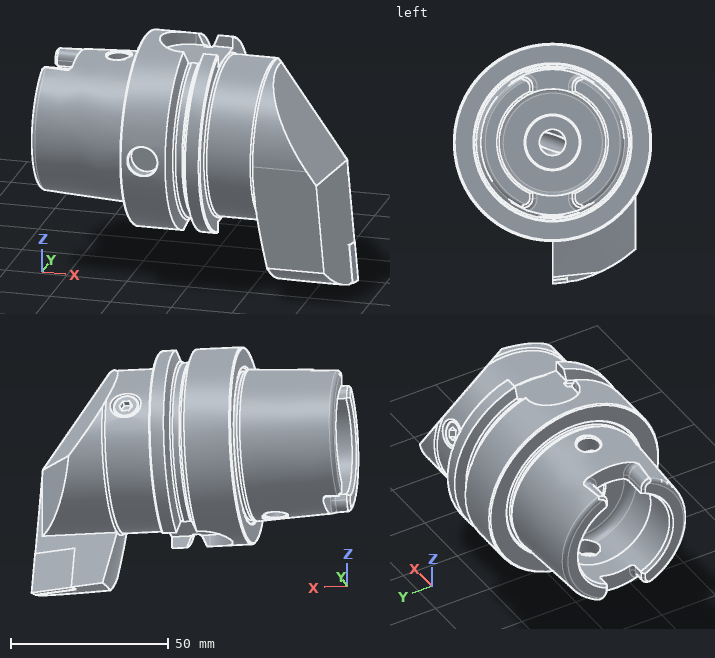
import cadquery as cq
import math


shank_length = 31.7
shank_end_radius = 22.8
shank_base_radius = 24.3
shank_rim_round = 1.3
relief_start = -1.7
relief_radius = 23.7
relief_run = 1.0
face_groove_radius = 25.3
face_groove_depth = 0.4

flange_radius = 31.5
flange_width = 26.4
flange_chamfer = 0.4
groove_radius = 27.4
groove_corner = 0.7
groove_left = 15.0
groove_floor_left = 16.6
groove_floor_right = 20.2
groove_right = 21.6

neck_radius = 26.0
neck_root_rise = 0.4
neck_root_length = 0.8
head_radius = 26.5
head_start = 42.5
head_step_length = 0.9

bore_radius = 17.0
bore_chamfer = 0.7
bore_chamfer_length = 1.2
bore_shoulder_depth = 12.8
bore_shoulder_angle = 60
bore_undercut_radius = 18.5
bore_floor_radius = 15.8
bore_depth = 27.3
tube_seat_radius = 8.6
tube_seat_chamfer = 0.4
tube_seat_depth = 12.2
coolant_radius = 4.2
drill_tip_angle = 118

notch_half_width = 6.3
notch_corner_radius = 3.1
notch_shoulder_height = 20.8
notch_end_fillet = 1.3
notch_mouth_chamfer = 0.9
upper_notch_depth = 9.9
lower_notch_depth = 6.0

cross_hole_x = -8.8
cross_hole_diameter = 7.5
cross_hole_rim_diameter = 8.4

key_slot_half_width = 9.1
key_slot_start = 5.1
key_slot_floor = 26.3
chip_x = 7.4
chip_diameter = 9.6
chip_rim_diameter = 10.0
chip_depth = 4.6

plug_x = 35.2
plug_tilt = 19
plug_diameter = 8.0
plug_rim_diameter = 10.0
plug_length = 6.1
plug_recess = 0.5
plug_chamfer = 0.3
plug_socket_diameter = 4.2
plug_socket_depth = 2.5
radial_hole_diameter = 5.0
radial_hole_overrun = 5.1

tip_x = 101.9 - shank_length
tip_z = -45.0
insert_side = 12.9
insert_thickness = 4.7
approach_angle = 5
end_clearance = 0.117
lower_clearance = 0.11
insert_overhang = 0.1

arm_cone_slope = 3.5
arm_side_bottom = -33.9
arm_arc_middle = (-15.6, -41.1)
arm_arc_end = (0, -45.4)
ridge_start = (44.8, head_radius)
ridge_end = (66.6, -4.7)
front_slope_tilt = 0.167
rear_slope_tilt = 0.86
rear_wall_slope = 0.52
reach = 81.5


def trim(body, origin, normal):
    """Remove everything on the normal's side of a plane."""
    plane = cq.Plane(origin=origin, normal=normal)
    return body.cut(cq.Workplane(plane).rect(4 * reach, 4 * reach).extrude(2 * reach))


def make_turned_body():
    rim_x = -shank_length + shank_rim_round
    rim_mid = shank_rim_round * math.sqrt(0.5)
    outline = (
        cq.Workplane("XY")
        .moveTo(-shank_length, 0)
        .lineTo(-shank_length, shank_end_radius - shank_rim_round)
        .threePointArc(
            (rim_x - rim_mid, shank_end_radius - shank_rim_round + rim_mid),
            (rim_x, shank_end_radius),
        )
        .lineTo(relief_start, shank_base_radius)
        .lineTo(relief_start + relief_run, relief_radius)
        .lineTo(face_groove_depth, relief_radius)
        .lineTo(face_groove_depth, face_groove_radius - face_groove_depth)
        .lineTo(0, face_groove_radius)
        .lineTo(0, flange_radius - flange_chamfer)
        .lineTo(flange_chamfer, flange_radius)
        .lineTo(groove_left, flange_radius)
        .lineTo(groove_floor_left, groove_radius + groove_corner)
        .lineTo(groove_floor_left + groove_corner, groove_radius)
        .lineTo(groove_floor_right - groove_corner, groove_radius)
        .lineTo(groove_floor_right, groove_radius + groove_corner)
        .lineTo(groove_right, flange_radius)
        .lineTo(flange_width - flange_chamfer, flange_radius)
        .lineTo(flange_width, flange_radius - flange_chamfer)
        .lineTo(flange_width, neck_radius + neck_root_rise)
        .lineTo(flange_width + neck_root_length, neck_radius)
        .lineTo(head_start - head_step_length, neck_radius)
        .lineTo(head_start, head_radius)
        .lineTo(tip_x, head_radius)
        .lineTo(tip_x, 0)
        .close()
    )
    return outline.revolve(360, (0, 0, 0), (1, 0, 0))


def make_arm():
    """Downward arm: a flat-sided block backed by a cone about the spindle axis."""
    block = (
        cq.Workplane("YZ", origin=(head_start, 0, 0))
        .moveTo(0, 0)
        .lineTo(-head_radius, 0)
        .lineTo(-head_radius, arm_side_bottom)
        .threePointArc(arm_arc_middle, arm_arc_end)
        .close()
        .extrude(tip_x - head_start)
    )
    cone = (
        cq.Workplane("XY")
        .polyline([
            (head_start, 0),
            (head_start, head_radius),
            (tip_x, head_radius + arm_cone_slope * (tip_x - head_start)),
            (tip_x, 0),
        ])
        .close()
        .revolve(360, (0, 0, 0), (1, 0, 0))
    )
    return block.intersect(cone)


def trim_head(body):
    """Slopes over the head, then the end and lower clearance faces of the arm."""
    ridge_drop = ridge_start[1] - ridge_end[1]
    ridge_run = ridge_end[0] - ridge_start[0]
    ridge_slope = ridge_drop / ridge_run
    ridge_point = (ridge_start[0], 0, ridge_start[1])
    body = trim(body, ridge_point, (ridge_slope, -front_slope_tilt, 1))
    body = trim(body, ridge_point, (ridge_slope, rear_slope_tilt, 1))

    wall = (
        cq.Workplane("XY", origin=(0, 0, -reach))
        .polyline([
            (ridge_end[0], 0),
            (ridge_end[0] - rear_wall_slope * reach, reach),
            (reach, reach),
            (reach, 0),
        ])
        .close()
        .extrude(2 * reach)
    )
    body = body.cut(wall)

    lean = math.tan(math.radians(approach_angle))
    body = trim(body, (tip_x - insert_overhang, 0, tip_z), (1, -end_clearance, lean))
    return trim(body, (tip_x, 0, tip_z + insert_overhang), (-lean, -lower_clearance, -1))


def cut_bore(body):
    mouth = -shank_length
    floor = mouth + bore_depth
    floor_corner = bore_undercut_radius - bore_floor_radius
    shoulder = mouth + bore_shoulder_depth
    shoulder_rise = bore_undercut_radius - bore_radius
    shoulder_length = shoulder_rise / math.tan(math.radians(bore_shoulder_angle))
    seat_floor = floor + tube_seat_depth
    tip_length = coolant_radius / math.tan(math.radians(drill_tip_angle / 2))
    drill_shoulder = plug_x - tip_length / 2
    corner_mid = floor_corner * math.sqrt(0.5)
    outline = (
        cq.Workplane("XY")
        .moveTo(mouth, 0)
        .lineTo(mouth, bore_radius + bore_chamfer)
        .lineTo(mouth + bore_chamfer_length, bore_radius)
        .lineTo(shoulder, bore_radius)
        .lineTo(shoulder + shoulder_length, bore_undercut_radius)
        .lineTo(floor - floor_corner, bore_undercut_radius)
        .threePointArc(
            (floor - floor_corner + corner_mid, bore_floor_radius + corner_mid),
            (floor, bore_floor_radius),
        )
        .lineTo(floor, tube_seat_radius + tube_seat_chamfer)
        .lineTo(floor + tube_seat_chamfer, tube_seat_radius)
        .lineTo(seat_floor, tube_seat_radius)
        .lineTo(seat_floor, coolant_radius)
        .lineTo(drill_shoulder, coolant_radius)
        .lineTo(drill_shoulder + tip_length, 0)
        .close()
    )
    return body.cut(outline.revolve(360, (0, 0, 0), (1, 0, 0)))


def notch_half_profile(sketch, spread):
    """Right half of the notch section, spread evenly into the wall.

    The wall corner is rounded, so the notch flares where it meets the outer surface.
    """
    half_width = notch_half_width + spread
    shoulder = notch_shoulder_height - spread
    radius = notch_corner_radius - spread
    inset = radius * math.sqrt(0.5)
    center_y = half_width + radius
    center_z = shoulder - radius
    return (
        sketch.moveTo(0, 0)
        .lineTo(half_width, 0)
        .lineTo(half_width, center_z)
        .threePointArc((center_y - inset, center_z + inset), (center_y, shoulder))
        .lineTo(flange_radius, shoulder)
        .lineTo(flange_radius, flange_radius)
        .lineTo(0, flange_radius)
        .close()
    )


def make_notch(depth):
    """Drive notch cutter for the +Z side, with a chamfered mouth."""
    end = cq.Workplane("YZ", origin=(-shank_length, 0, 0))
    half = notch_half_profile(end, 0).extrude(depth)
    notch = half.union(half.mirror("XZ")).clean()
    wall_end = cq.selectors.BoxSelector(
        (-shank_length, -notch_half_width - notch_end_fillet, 0),
        (0, notch_half_width + notch_end_fillet, flange_radius))
    notch = notch.faces(">X").edges("|Z").edges(wall_end).fillet(notch_end_fillet)

    flare = notch_half_profile(end, notch_mouth_chamfer)
    flare = notch_half_profile(flare.workplane(offset=notch_mouth_chamfer), 0).loft(ruled=True)
    return notch.union(flare).union(flare.mirror("XZ"))


def cut_notches(body):
    upper = make_notch(upper_notch_depth)
    lower = make_notch(lower_notch_depth).mirror("XY")
    return body.cut(upper).cut(lower)


def make_rimmed_hole(plane, bottom, diameter, rim_diameter, rim_height):
    """Hole cutter along a plane's normal, widened by a 45 degree chamfer up to rim_height."""
    rim_depth = (rim_diameter - diameter) / 2
    axis = cq.Workplane(plane)
    shaft = axis.workplane(offset=bottom).circle(diameter / 2).extrude(rim_height - bottom)
    chamfer = (
        axis.workplane(offset=rim_height - rim_depth).circle(diameter / 2)
        .workplane(offset=rim_depth).circle(rim_diameter / 2).loft()
    )
    opening = axis.workplane(offset=rim_height).circle(rim_diameter / 2).extrude(flange_radius)
    return shaft.union(chamfer).union(opening)


def cut_cross_hole(body):
    taper_run = shank_length - shank_rim_round + relief_start
    taper = (shank_base_radius - shank_end_radius) / taper_run
    surface = shank_base_radius - taper * (relief_start - cross_hole_x)
    rim_height = math.sqrt(surface ** 2 - (cross_hole_rim_diameter / 2) ** 2)
    for side in (1, -1):
        plane = cq.Plane(origin=(cross_hole_x, 0, 0), xDir=(1, 0, 0), normal=(0, 0, side))
        body = body.cut(make_rimmed_hole(
            plane, 0, cross_hole_diameter, cross_hole_rim_diameter, rim_height))
    return body


def cut_key_slots(body):
    round_x = key_slot_start + key_slot_half_width
    for side in (1, -1):
        plane = cq.Workplane("XY", origin=(0, 0, side * key_slot_floor))
        height = side * (flange_radius - key_slot_floor)
        slot = (
            plane.moveTo(flange_width, key_slot_half_width)
            .lineTo(round_x, key_slot_half_width)
            .threePointArc((key_slot_start, 0), (round_x, -key_slot_half_width))
            .lineTo(flange_width, -key_slot_half_width)
            .close()
            .extrude(height)
        )
        body = body.cut(slot)
    return body


def cut_chip_pocket(body):
    plane = cq.Plane(origin=(chip_x, 0, 0), xDir=(1, 0, 0), normal=(0, -1, 0))
    rim_height = math.sqrt(flange_radius ** 2 - (chip_rim_diameter / 2) ** 2)
    return body.cut(make_rimmed_hole(
        plane, flange_radius - chip_depth, chip_diameter, chip_rim_diameter, rim_height))


def make_plug_plane():
    """Plane on the spindle axis whose normal points out along the radial coolant hole."""
    tilt = math.radians(plug_tilt)
    return cq.Plane(
        origin=(plug_x, 0, 0), xDir=(1, 0, 0), normal=(0, math.cos(tilt), math.sin(tilt)))


plug_top = neck_radius - plug_recess
plug_bottom = plug_top - plug_length


def make_plug():
    axis = cq.Workplane(make_plug_plane())
    plug = axis.workplane(offset=plug_bottom).circle(plug_diameter / 2).extrude(plug_length)
    plug = plug.edges().chamfer(plug_chamfer)
    socket = (
        axis.workplane(offset=plug_top)
        .polygon(6, plug_socket_diameter)
        .extrude(-plug_socket_depth)
    )
    return plug.cut(socket)


def cut_plug_hole(body):
    plane = make_plug_plane()
    duct = (
        cq.Workplane(plane).workplane(offset=-radial_hole_overrun)
        .circle(radial_hole_diameter / 2)
        .extrude(radial_hole_overrun + neck_radius)
    )
    seat = make_rimmed_hole(plane, plug_bottom, plug_diameter, plug_rim_diameter, neck_radius)
    return body.cut(duct).cut(seat)


def make_insert():
    """Rhombic insert with its cutting face in the XZ plane, leaning back for clearance."""
    lean = math.radians(approach_angle)
    along = insert_side * math.cos(lean)
    across = insert_side * math.sin(lean)
    corners = [
        (tip_x, 0, tip_z),
        (tip_x - across, 0, tip_z + along),
        (tip_x - across - along, 0, tip_z + along + across),
        (tip_x - along, 0, tip_z + across),
    ]
    outline = cq.Wire.makePolygon([cq.Vector(*corner) for corner in corners], close=True)
    back = cq.Vector(-end_clearance, -1, lower_clearance) * insert_thickness
    return cq.Workplane(cq.Solid.extrudeLinear(outline, [], back))


def make_holder(insert):
    holder = trim_head(make_turned_body().union(make_arm()))
    holder = cut_bore(holder)
    holder = cut_notches(holder)
    holder = cut_cross_hole(holder)
    holder = cut_key_slots(holder)
    holder = cut_chip_pocket(holder)
    holder = cut_plug_hole(holder)
    return holder.cut(insert)


insert = make_insert()
plug = make_plug()
holder = make_holder(insert)

result = cq.Compound.makeCompound([holder.val(), plug.val(), insert.val()])